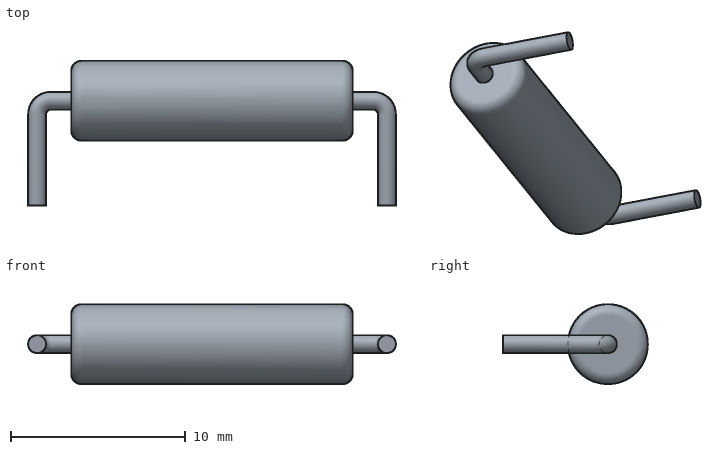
import cadquery as cq
import math

body_length = 16.13
body_diameter = 4.6
body_edge_radius = 0.61

overall_length = 21.05
lead_diameter = 1.03
bend_radius = 0.78
leg_reach = 6.0

leg_x = (overall_length - lead_diameter) / 2
bend_start_x = leg_x - bend_radius


def make_body():
    """Cylinder with rounded rims at both ends."""
    return (
        cq.Workplane("YZ", origin=(-body_length / 2, 0, 0))
        .circle(body_diameter / 2)
        .extrude(body_length)
        .edges("%CIRCLE")
        .fillet(body_edge_radius)
    )


def make_wire():
    """One bent wire through the body, forming both leads."""
    arc_offset = bend_radius * math.sqrt(0.5)
    arc_x = bend_start_x + arc_offset
    arc_y = arc_offset - bend_radius
    path = (
        cq.Workplane("XY")
        .moveTo(-leg_x, -leg_reach)
        .lineTo(-leg_x, -bend_radius)
        .threePointArc((-arc_x, arc_y), (-bend_start_x, 0))
        .lineTo(bend_start_x, 0)
        .threePointArc((arc_x, arc_y), (leg_x, -bend_radius))
        .lineTo(leg_x, -leg_reach)
    )
    wire_end = cq.Workplane("XZ", origin=(-leg_x, -leg_reach, 0))
    return wire_end.circle(lead_diameter / 2).sweep(path)


result = make_body().union(make_wire())